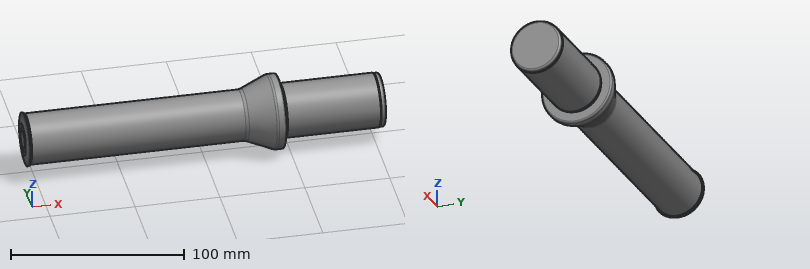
import cadquery as cq

TOTAL_LENGTH = 211.0
SHANK_RADIUS = 30.0 / 2

CAP_LENGTH = 2.6
CAP_RIM_RADIUS = 31.5 / 2
CAP_RIM_X = 1.2
CAP_FACE_RADIUS = 15.1
CAP_FACE_EDGE_X = 0.95
CAP_TAPER_RADIUS = 31.0 / 2
CAP_TAPER_X = 2.0
CAP_SHOULDER_RADIUS = 13.7
CAP_SHOULDER_X = 0.75
CAP_CREST_RADIUS = 9.5
CAP_GROOVE_RADIUS = 7.4
CAP_GROOVE_DEPTH = 0.45
CAP_DIMPLE_RADIUS = 5.5
CAP_DIMPLE_DEPTH = 0.7

COLLAR_RADIUS = 44.0 / 2
COLLAR_END = 151.0
COLLAR_WIDTH = 5.2
COLLAR_CONE_LENGTH = 16.6
COLLAR_EDGE_FILLET = 1.0
CONE_FOOT_BLEND = 5.0
CONE_TOP_BLEND = 3.5

NECK_RADIUS = 31.5 / 2
SEAT_RADIUS = 32.0 / 2
SEAT_START = COLLAR_END + 1.3
SEAT_END = 207.5
LEAD_RADIUS = 31.5 / 2
SEAT_END_TAPER = 0.7
SEAT_START_TAPER = 0.7
LEAD_FILLET = 1.2

MATCH = 0.01


def revolve_about_x(profile):
    """Turn a closed half profile about the X axis."""
    return profile.close().revolve(360, (0, 0, 0), (1, 0, 0))


def fillet_circle(body, x, radius, fillet_radius):
    """Round the circular edge that has this radius and lies at this x."""

    def is_wanted(edge):
        if edge.geomType() != "CIRCLE":
            return False
        return abs(edge.Center().x - x) < MATCH and abs(edge.radius() - radius) < MATCH

    return body.edges().filter(is_wanted).fillet(fillet_radius)


def make_end_cap():
    profile = (
        cq.Workplane("XY")
        .moveTo(CAP_DIMPLE_DEPTH, 0)
        .lineTo(0, CAP_DIMPLE_RADIUS)
        .lineTo(CAP_GROOVE_DEPTH, CAP_GROOVE_RADIUS)
        .lineTo(0, CAP_CREST_RADIUS)
        .lineTo(CAP_SHOULDER_X, CAP_SHOULDER_RADIUS)
        .lineTo(CAP_FACE_EDGE_X, CAP_FACE_RADIUS)
        .lineTo(CAP_RIM_X, CAP_RIM_RADIUS)
        .lineTo(CAP_TAPER_X, CAP_TAPER_RADIUS)
        .lineTo(CAP_LENGTH, SHANK_RADIUS)
        .lineTo(CAP_LENGTH, 0)
    )
    return revolve_about_x(profile)


def make_pillar():
    cone_end = COLLAR_END - COLLAR_WIDTH
    cone_start = cone_end - COLLAR_CONE_LENGTH
    profile = (
        cq.Workplane("XY")
        .moveTo(CAP_LENGTH, 0)
        .lineTo(CAP_LENGTH, SHANK_RADIUS)
        .lineTo(cone_start, SHANK_RADIUS)
        .lineTo(cone_end, COLLAR_RADIUS)
        .lineTo(COLLAR_END, COLLAR_RADIUS)
        .lineTo(COLLAR_END, NECK_RADIUS)
        .lineTo(SEAT_START, NECK_RADIUS)
        .lineTo(SEAT_START + SEAT_START_TAPER, SEAT_RADIUS)
        .lineTo(SEAT_END, SEAT_RADIUS)
        .lineTo(SEAT_END + SEAT_END_TAPER, LEAD_RADIUS)
        .lineTo(TOTAL_LENGTH, LEAD_RADIUS)
        .lineTo(TOTAL_LENGTH, 0)
    )
    pillar = revolve_about_x(profile)
    for x, radius, blend in (
        (cone_start, SHANK_RADIUS, CONE_FOOT_BLEND),
        (cone_end, COLLAR_RADIUS, CONE_TOP_BLEND),
        (COLLAR_END, COLLAR_RADIUS, COLLAR_EDGE_FILLET),
        (TOTAL_LENGTH, LEAD_RADIUS, LEAD_FILLET),
    ):
        pillar = fillet_circle(pillar, x, radius, blend)
    return pillar


end_cap = make_end_cap()
pillar = make_pillar()

result = cq.Compound.makeCompound([end_cap.val(), pillar.val()])